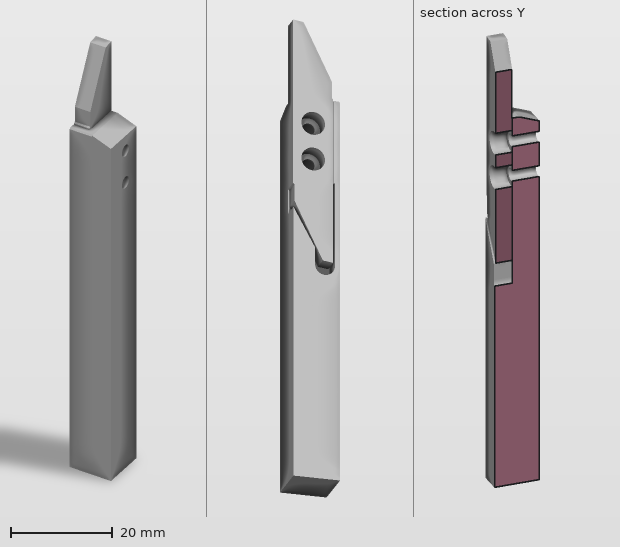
import cadquery as cq

WIDTH = 9.6
LENGTH = 96.5

BLADE_FACE_X = 0.2
BLADE_WIDTH = 8.2
BLADE_BOTTOM_Z = 45.9
TIP_WIDTH = 2.1
TIP_DROP = 0.3
EDGE_INSET = 0.3
KNEE_DEPTH = 12.3
SHOULDER_DEPTH = 15.7
BLADE_CENTER_Y = WIDTH - BLADE_WIDTH / 2
BLADE_CENTER_Z = (LENGTH + BLADE_BOTTOM_Z) / 2

HOLE_SPACING = 7.5
BLADE_HOLE_DIAMETER = 4.8
SHANK_HOLE_DIAMETER = 2.6

SHANK_TOP_Z = 80.1
FLAT_WIDTH = 5.2
SLOPE_DROP = 1.6
FRONT_CHAMFER = 0.3

POCKET_FLOOR_X = 3.8
RELIEF_DEPTH = 0.3
RELIEF_TOP_Z = 62.6
SLANT_TOP_Z = 56.8
SLANT_BOTTOM_Z = 48.7
SLOT_WIDTH = 4.1
SLOT_BOTTOM_Z = 43.1


def screw_holes(diameter, depth):
    """Cylinders along X, reaching from the -X face to the given depth."""
    offset = HOLE_SPACING / 2
    return (
        cq.Workplane("YZ")
        .pushPoints([(BLADE_CENTER_Y, BLADE_CENTER_Z + side * offset) for side in (-1, 1)])
        .circle(diameter / 2)
        .extrude(depth)
    )


def make_pocket():
    front_y = WIDTH - BLADE_WIDTH
    relief_y = front_y - RELIEF_DEPTH
    slot_rear_y = relief_y + SLOT_WIDTH
    slot_radius = SLOT_WIDTH / 2
    arc_z = SLOT_BOTTOM_Z + slot_radius
    return (
        cq.Workplane("YZ")
        .moveTo(front_y, LENGTH)
        .lineTo(front_y, RELIEF_TOP_Z)
        .lineTo(relief_y, RELIEF_TOP_Z)
        .lineTo(relief_y, arc_z)
        .threePointArc((relief_y + slot_radius, SLOT_BOTTOM_Z), (slot_rear_y, arc_z))
        .lineTo(slot_rear_y, SLANT_BOTTOM_Z)
        .lineTo(WIDTH, SLANT_TOP_Z)
        .lineTo(WIDTH, LENGTH)
        .close()
        .extrude(POCKET_FLOOR_X)
    )


def make_front_chamfer():
    """Wedge removed from the front edge of the flat part of the top."""
    return (
        cq.Workplane("YZ")
        .moveTo(0, SHANK_TOP_Z)
        .lineTo(FRONT_CHAMFER, SHANK_TOP_Z)
        .lineTo(0, SHANK_TOP_Z - FRONT_CHAMFER)
        .close()
        .extrude(FLAT_WIDTH)
    )


def make_shank():
    bar = (
        cq.Workplane("XZ")
        .moveTo(0, 0)
        .lineTo(WIDTH, 0)
        .lineTo(WIDTH, SHANK_TOP_Z - SLOPE_DROP)
        .lineTo(FLAT_WIDTH, SHANK_TOP_Z)
        .lineTo(0, SHANK_TOP_Z)
        .close()
        .extrude(-WIDTH)
    )
    through_holes = screw_holes(SHANK_HOLE_DIAMETER, WIDTH)
    return bar.cut(make_front_chamfer()).cut(make_pocket()).cut(through_holes)


def make_blade():
    half_width = BLADE_WIDTH / 2
    half_length = (LENGTH - BLADE_BOTTOM_Z) / 2
    shoulder_z = half_length - SHOULDER_DEPTH
    upper_half = [
        (half_width, half_length),
        (half_width - TIP_WIDTH, half_length - TIP_DROP),
        (EDGE_INSET - half_width, half_length - KNEE_DEPTH),
        (EDGE_INSET - half_width, shoulder_z),
        (-half_width, shoulder_z - EDGE_INSET),
    ]
    lower_half = [(-y, -z) for y, z in upper_half]
    plate = (
        cq.Workplane("YZ", origin=(BLADE_FACE_X, BLADE_CENTER_Y, BLADE_CENTER_Z))
        .polyline(upper_half + lower_half)
        .close()
        .extrude(POCKET_FLOOR_X - BLADE_FACE_X)
    )
    return plate.cut(screw_holes(BLADE_HOLE_DIAMETER, POCKET_FLOOR_X))


shank = make_shank()
blade = make_blade()

result = cq.Compound.makeCompound([shank.val(), blade.val()])